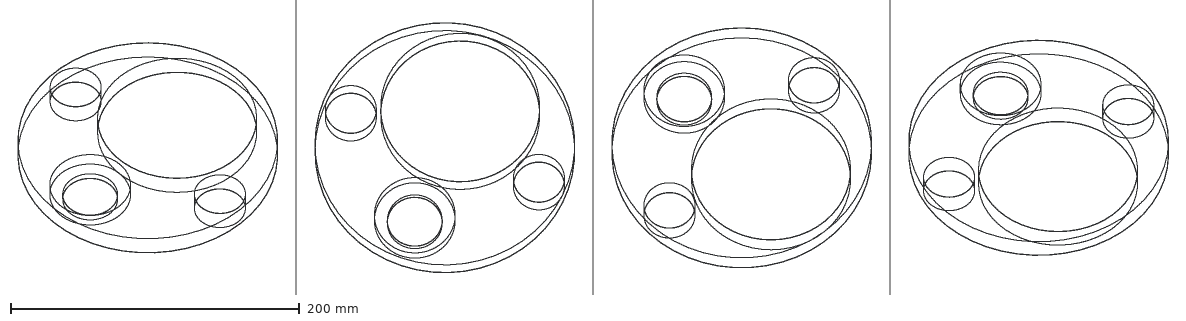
import cadquery as cq

disc_diameter = 180.0
disc_thickness = 15.0

window_diameter = 110.2
window_offset = 29.0

side_hole_diameter = 35.4
side_hole_offset = 70.0

bore_diameter = 38.0
counterbore_diameter = 56.0
counterbore_depth = 10.0
bore_offset = 57.0


def make_disc():
    """Plain disc standing on the XY plane."""
    return cq.Workplane("XY").circle(disc_diameter / 2).extrude(disc_thickness)


def top_face_points(body, points):
    """Place points on the top face, measured from the disc axis."""
    return body.faces(">Z").workplane(origin=(0, 0, disc_thickness)).pushPoints(points)


def cut_window(body):
    """Large through opening."""
    return top_face_points(body, [(0, window_offset)]).hole(window_diameter)


def cut_side_holes(body):
    """Two through holes, mirrored about the YZ plane."""
    centres = [(-side_hole_offset, 0), (side_hole_offset, 0)]
    return top_face_points(body, centres).hole(side_hole_diameter)


def cut_counterbored_hole(body):
    """Through hole with a flat-bottomed counterbore from the top."""
    return top_face_points(body, [(0, -bore_offset)]).cboreHole(
        bore_diameter, counterbore_diameter, counterbore_depth
    )


result = make_disc()
result = cut_window(result)
result = cut_side_holes(result)
result = cut_counterbored_hole(result)